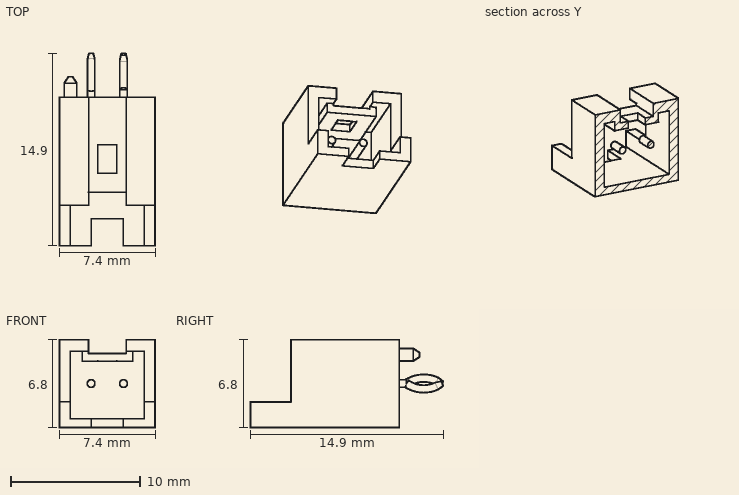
import cadquery as cq
import math

width = 7.4
height = 6.8
body_length = 11.51
total_length = 14.91
side_wall = 0.85
floor_thickness = 0.67
roof_thickness = 0.91
back_wall = 2.0

step_length = 3.13
step_height = 1.98

notch_width = 2.46
notch_length = 2.1

channel_width = 2.89
channel_depth = 1.07
latch_width = 3.89
latch_bottom_depth = 1.67
latch_front = 4.15
window_width = 1.49
window_front = 5.64
window_length = 2.19

post_diameter = 1.0
post_tip_diameter = 0.33
post_length = 1.58
post_cone_length = 0.5
post_x = -2.85
post_z = 5.62

pin_diameter = 0.6
pin_pitch = 2.5
pin_z = 3.4
pin_front = 5.52
stem_length = 0.55
bow_height = 0.42
bow_peak = 1.34
bow_length = 2.33
tip_diameter = 0.39


def block(size_x, y_start, y_end, z_start, z_end):
    """Box centred on x = 0."""
    size_y = y_end - y_start
    size_z = z_end - z_start
    box = cq.Workplane("XY").box(size_x, size_y, size_z, centered=(True, False, False))
    return box.translate((0, y_start, z_start))


def rod(x, z, diameter, y_start, y_end):
    """Round rod along Y."""
    axis_start = cq.Vector(x, y_start, z)
    return cq.Workplane(
        cq.Solid.makeCylinder(diameter / 2, y_end - y_start, axis_start, cq.Vector(0, 1, 0))
    )


def make_housing():
    cavity_back = body_length - back_wall
    cavity_top = height - roof_thickness
    channel_floor = height - channel_depth
    latch_bottom = height - latch_bottom_depth
    window_back = window_front + window_length

    housing = block(width, 0, body_length, 0, height)
    housing = housing.cut(block(width - 2 * side_wall, 0, cavity_back, floor_thickness, cavity_top))
    housing = housing.cut(block(width, 0, step_length, step_height, height))
    housing = housing.cut(block(notch_width, 0, notch_length, 0, floor_thickness))
    housing = housing.union(block(latch_width, latch_front, body_length, latch_bottom, cavity_top))
    housing = housing.cut(block(channel_width, 0, body_length, channel_floor, height))
    return housing.cut(block(window_width, window_front, window_back, latch_bottom, height))


def make_post():
    cone_start = body_length + post_length - post_cone_length
    cone = cq.Solid.makeCone(
        post_diameter / 2,
        post_tip_diameter / 2,
        post_cone_length,
        cq.Vector(post_x, cone_start, post_z),
        cq.Vector(0, 1, 0),
    )
    return rod(post_x, post_z, post_diameter, body_length, cone_start).union(cq.Workplane(cone))


def make_tail(x, side):
    """Bowed round tail with a tapered tip; side is +1 for up and -1 for down."""
    base_y = body_length + stem_length
    bow_radius = (bow_peak**2 + bow_height**2) / (2 * bow_height)

    def bow_offset(distance):
        return bow_height - bow_radius + math.sqrt(bow_radius**2 - (distance - bow_peak) ** 2)

    end_slope = math.asin((bow_length - bow_peak) / bow_radius)
    rim_reach = tip_diameter / 2 * math.sin(end_slope)
    tip_length = (total_length - rim_reach - base_y - bow_length) / math.cos(end_slope)

    start_slope = math.asin(bow_peak / bow_radius)
    start_direction = (0, math.cos(start_slope), side * math.sin(start_slope))
    end_direction = cq.Vector(0, math.cos(end_slope), -side * math.sin(end_slope))
    start = (x, base_y, pin_z)
    peak = (x, base_y + bow_peak, pin_z + side * bow_height)
    end = (x, base_y + bow_length, pin_z + side * bow_offset(bow_length))

    bow = cq.Edge.makeThreePointArc(cq.Vector(start), cq.Vector(peak), cq.Vector(end))
    path = cq.Workplane(cq.Wire.assembleEdges([bow]))
    section = cq.Workplane(cq.Plane(start, (1, 0, 0), start_direction)).circle(pin_diameter / 2)
    tip = cq.Solid.makeCone(
        pin_diameter / 2, tip_diameter / 2, tip_length, cq.Vector(end), end_direction
    )
    return section.sweep(path).union(cq.Workplane(tip))


def make_pin(x, side):
    pin = rod(x, pin_z, pin_diameter, pin_front, body_length + stem_length)
    return pin.union(make_tail(x, side))


result = make_housing().union(make_post())
for pin_side in (1, -1):
    result = result.union(make_pin(-pin_side * pin_pitch / 2, pin_side))